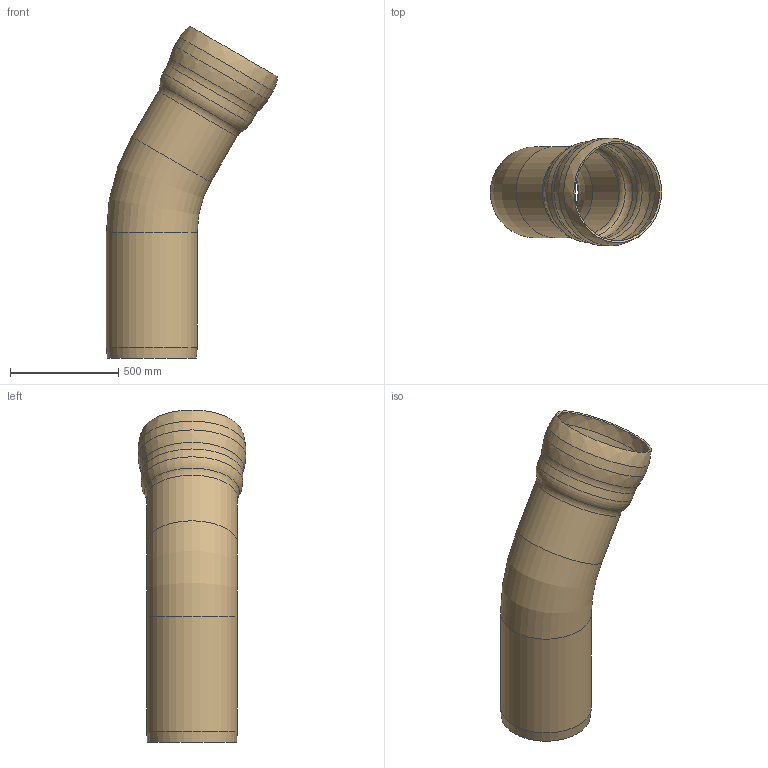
import math

import cadquery as cq

WALL = 10.0
PIPE_RADIUS = 210.0

SPIGOT_LENGTH = 581.3
TAPER_LENGTH = 50.0
TAPER_ANGLE = 5.0

BEND_ANGLE = 30.0
BEND_RADIUS = 1.6 * (2 * PIPE_RADIUS)

SEAL_SEAT_RADIUS = 234.02
COLLAR_RADIUS = 249.02

LEG_STRAIGHT = 243.7
SEAT_FLARE = 84.0
SEAT_STRAIGHT = 42.0
COLLAR_FLARE = 93.0
COLLAR_STRAIGHT = 47.0
RIM_LENGTH = 67.9

SEAT_FLARE_SPLIT = 0.386
COLLAR_FLARE_SPLIT = 0.344

RIM_ARC_RADIUS = 164.0


def add_flare(profile, radius, height, end_radius, length, split, offset):
    """Continue a profile with an S-shaped flare of two tangent arcs, moved inwards by offset."""
    rise = end_radius - radius
    slope = 2 * math.atan(rise / length)
    middle = (
        radius + split * rise - offset * math.cos(slope),
        height + split * length + offset * math.sin(slope),
    )
    profile = profile.tangentArcPoint(middle, relative=False)
    return profile.tangentArcPoint((end_radius - offset, height + length), relative=False)


def rim_corner(arc_start, offset):
    """Radius and height of a corner of the end face, which is square to the inward-curving wall."""
    end_angle = math.asin(RIM_LENGTH / RIM_ARC_RADIUS)
    arc_radius = RIM_ARC_RADIUS - offset
    arc_center = COLLAR_RADIUS - RIM_ARC_RADIUS
    return (
        arc_center + arc_radius * math.cos(end_angle),
        arc_start + arc_radius * math.sin(end_angle),
    )


def socket_body(offset):
    """Solid of revolution about Z inside the socket leg's outer surface moved inwards by offset."""
    seat_flare_start = LEG_STRAIGHT
    seat_start = seat_flare_start + SEAT_FLARE
    collar_flare_start = seat_start + SEAT_STRAIGHT
    collar_start = collar_flare_start + COLLAR_FLARE
    rim_arc_start = collar_start + COLLAR_STRAIGHT
    inner_rim = rim_corner(rim_arc_start, WALL)

    profile = cq.Workplane("XZ").lineTo(PIPE_RADIUS - offset, 0)
    profile = profile.lineTo(PIPE_RADIUS - offset, seat_flare_start)
    profile = add_flare(
        profile, PIPE_RADIUS, seat_flare_start, SEAL_SEAT_RADIUS, SEAT_FLARE, SEAT_FLARE_SPLIT, offset
    )
    profile = profile.lineTo(SEAL_SEAT_RADIUS - offset, collar_flare_start)
    profile = add_flare(
        profile, SEAL_SEAT_RADIUS, collar_flare_start, COLLAR_RADIUS, COLLAR_FLARE, COLLAR_FLARE_SPLIT, offset
    )
    profile = profile.lineTo(COLLAR_RADIUS - offset, rim_arc_start)
    profile = profile.tangentArcPoint(rim_corner(rim_arc_start, offset), relative=False)
    if offset < WALL:
        profile = profile.lineTo(*inner_rim)
    profile = profile.lineTo(0, inner_rim[1]).close()
    return profile.revolve(360, (0, 0, 0), (0, 1, 0))


def make_spigot():
    """Lower straight pipe whose wall leans inwards at the free end, with the end face square to it."""
    taper = math.radians(TAPER_ANGLE)
    bore_radius = PIPE_RADIUS - WALL
    end_radius = PIPE_RADIUS - TAPER_LENGTH * math.tan(taper)
    return (
        cq.Workplane("XZ")
        .moveTo(end_radius, 0)
        .lineTo(PIPE_RADIUS, TAPER_LENGTH)
        .lineTo(PIPE_RADIUS, SPIGOT_LENGTH)
        .lineTo(bore_radius, SPIGOT_LENGTH)
        .lineTo(bore_radius, TAPER_LENGTH + WALL * math.tan(taper / 2))
        .lineTo(end_radius - WALL * math.cos(taper), WALL * math.sin(taper))
        .close()
        .revolve(360, (0, 0, 0), (0, 1, 0))
    )


def make_bend():
    """Pipe ring swept about an axis parallel to Y, leaning towards +X."""
    return (
        cq.Workplane("XY")
        .workplane(offset=SPIGOT_LENGTH)
        .circle(PIPE_RADIUS)
        .circle(PIPE_RADIUS - WALL)
        .revolve(BEND_ANGLE, (BEND_RADIUS, 0, 0), (BEND_RADIUS, 1, 0))
    )


def make_socket_leg():
    """Upper leg with its stepped socket, placed on the tilted end of the bend."""
    angle = math.radians(BEND_ANGLE)
    bend_end = (
        BEND_RADIUS * (1 - math.cos(angle)),
        0,
        SPIGOT_LENGTH + BEND_RADIUS * math.sin(angle),
    )
    leg = socket_body(0).cut(socket_body(WALL))
    return leg.rotate((0, 0, 0), (0, 1, 0), BEND_ANGLE).translate(bend_end)


result = make_spigot().union(make_bend()).union(make_socket_leg())